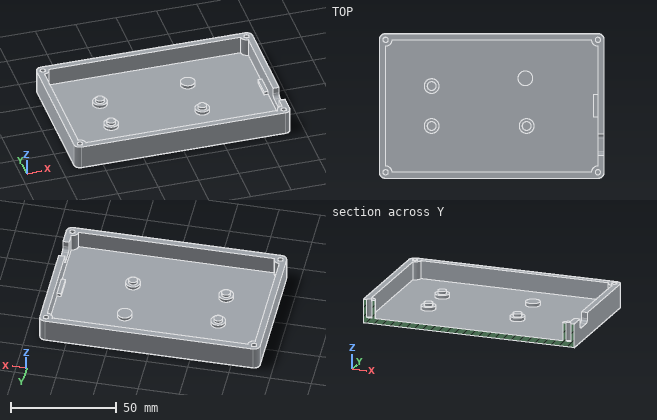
import cadquery as cq

LENGTH = 107.0
WIDTH = 69.0
HEIGHT = 12.0
WALL = 3.0
FLOOR = 3.0
OUTER_CORNER_RADIUS = WALL

CAVITY_LENGTH = LENGTH - 2 * WALL
CAVITY_WIDTH = WIDTH - 2 * WALL
CAVITY_DEPTH = HEIGHT - FLOOR

POST_RADIUS = OUTER_CORNER_RADIUS
SCREW_HOLE_DIAMETER = 2.5

SUPPORT_DIAMETER = 7.0
SUPPORT_HEIGHT = 1.8
PIN_DIAMETER = 4.2
PIN_HEIGHT = 1.5
LEFT_SUPPORT_X = -28.6
RIGHT_SUPPORT_X = 16.6
FRONT_SUPPORT_Y = -9.5
REAR_SUPPORT_Y = 9.5
PINNED_SUPPORTS = [
    (LEFT_SUPPORT_X, FRONT_SUPPORT_Y),
    (LEFT_SUPPORT_X, REAR_SUPPORT_Y),
    (RIGHT_SUPPORT_X, FRONT_SUPPORT_Y),
]
PLAIN_SUPPORT = (16.0, 13.2)

LEDGE_DEPTH = 2.0
LEDGE_LENGTH = 10.6
LEDGE_HEIGHT = 1.7
LEDGE_Y = 0.2

NOTCH_WIDTH = 10.2
NOTCH_DEPTH = 5.0
NOTCH_CORNER_RADIUS = 1.9
NOTCH_Y = -18.5


def make_tray():
    outer = cq.Workplane("XY").box(LENGTH, WIDTH, HEIGHT, centered=(True, True, False))
    outer = outer.edges("|Z").fillet(OUTER_CORNER_RADIUS)
    cavity = (
        cq.Workplane("XY", origin=(0, 0, FLOOR))
        .box(CAVITY_LENGTH, CAVITY_WIDTH, CAVITY_DEPTH, centered=(True, True, False))
    )
    return outer.cut(cavity)


def cavity_corner_cylinders(radius):
    """Vertical cylinders from the floor to the rim at the four cavity corners."""
    return (
        cq.Workplane("XY", origin=(0, 0, FLOOR))
        .rect(CAVITY_LENGTH, CAVITY_WIDTH, forConstruction=True)
        .vertices()
        .circle(radius)
        .extrude(CAVITY_DEPTH)
    )


def floor_cylinders(points, diameter, height):
    """Upright cylinders rising from the bottom face to a height above the floor."""
    return cq.Workplane("XY").pushPoints(points).circle(diameter / 2).extrude(FLOOR + height)


def make_ledge():
    ledge_x = (CAVITY_LENGTH - LEDGE_DEPTH) / 2
    return (
        cq.Workplane("XY", origin=(ledge_x, LEDGE_Y, 0))
        .box(LEDGE_DEPTH, LEDGE_LENGTH, FLOOR + LEDGE_HEIGHT, centered=(True, True, False))
    )


def make_notch():
    notch_x = (LENGTH - WALL) / 2
    return (
        cq.Workplane("XY", origin=(notch_x, NOTCH_Y, HEIGHT - NOTCH_DEPTH))
        .box(WALL, NOTCH_WIDTH, NOTCH_DEPTH, centered=(True, True, False))
        .edges("|X and <Z")
        .fillet(NOTCH_CORNER_RADIUS)
    )


result = (
    make_tray()
    .union(cavity_corner_cylinders(POST_RADIUS))
    .cut(cavity_corner_cylinders(SCREW_HOLE_DIAMETER / 2))
    .union(floor_cylinders(PINNED_SUPPORTS + [PLAIN_SUPPORT], SUPPORT_DIAMETER, SUPPORT_HEIGHT))
    .union(floor_cylinders(PINNED_SUPPORTS, PIN_DIAMETER, SUPPORT_HEIGHT + PIN_HEIGHT))
    .union(make_ledge())
    .cut(make_notch())
)